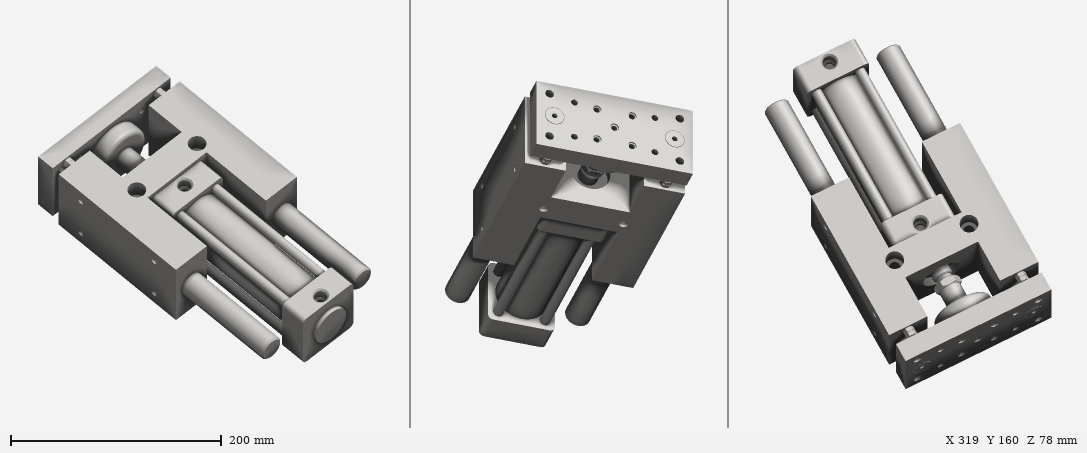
import cadquery as cq
import math


plate_thickness = 19.8
plate_width = 156.3
plate_height = 74.3

housing_front = 30.0
housing_rear = 189.8
housing_width = 160.0
housing_height = 78.0
web_front = 75.0
web_rear = 108.8
pocket_width = 78.0
web_recess_diameter = 40.0
web_recess_depth = 8.5

mount_x = 95.0
mount_y = 40.0
mount_head_diameter = 18.0
mount_head_depth = 19.0
mount_clearance_diameter = 11.0
mount_clearance_depth = housing_height / 2
mount_core_diameter = 8.5

side_hole_x = 60.0
side_hole_pitch_x = 100.2
side_hole_z = 25.0
side_hole_diameter = 6.7
side_hole_depth = 15.0

rod_y = 60.0
rod_diameter = 25.2
rod_rear = 300.0
rod_end_chamfer = 1.5
rod_seat_diameter = 19.8
rod_seat_chamfer = 0.5
rod_centre_diameter = 5.5
rod_centre_depth = 9.5

stop_z = 32.0
stop_flats = 10.0
stop_gap = 1.0
stop_head_front = plate_thickness + stop_gap
stop_nut_length = 4.5
stop_bevel_width = 1.0
stop_bevel_length = 0.5

cap_size = 66.7
cap_corner_radius = 5.0
front_cap_rear = 137.0
rear_cap_front = 286.5
rear_cap_rear = 315.0
barrel_diameter = 52.3
tie_rod_offset = 23.3
tie_rod_diameter = 10.2
rear_boss_diameter = 40.0
overall_length = 319.0

port_stations = (119.0, 304.3)
port_mouth_diameter = 17.0
port_thread_diameter = 13.5
port_bore_diameter = 9.0
port_depth = 12.8
port_bore_depth = 16.0

disc_diameter = 60.0
disc_rear = 36.7
disc_front_chamfer = 0.5
disc_rear_fillet = 5.0
stud_diameter = 22.0
nut_front = 58.0
nut_rear = 66.7
nut_flats = 24.0
nut_bevel_width = 2.5
nut_bevel_length = 2.0
thread_diameter = 16.0
piston_rod_front = 71.0
piston_rod_diameter = 20.0
piston_rod_chamfer = 1.3

corner_hole_y = 65.0
corner_hole_z = 25.0
corner_hole_diameter = 8.5
inner_hole_y = 40.2
inner_hole_z = 20.0
inner_hole_diameter = 6.7
screw_hole_offset = 17.5
screw_hole_diameter = 6.0
screw_hole_mouth = 8.3
centre_hole_diameter = 5.7
centre_hole_mouth = 8.5
mouth_depth = 1.5

SIDES = (-1, 1)


def four_corners(y, z):
    """The four points (+-y, +-z)."""
    return [(side_y * y, side_z * z) for side_y in SIDES for side_z in SIDES]


def cylinder_x(start, end, diameter, y=0, z=0):
    """A cylinder along X between two stations."""
    return cq.Workplane("YZ", origin=(start, y, z)).circle(diameter / 2).extrude(end - start)


def box_x(start, end, width, height):
    """A block centred on the X axis between two stations."""
    block = cq.Workplane("YZ", origin=(start, 0, 0)).rect(width, height)
    return block.extrude(end - start)


def hexagon_x(start, end, flats, bevel_width, bevel_length, y=0, z=0):
    """A hexagonal prism along X, flats facing +-Z, with its corners bevelled at both ends."""
    corners = flats / math.cos(math.pi / 6)
    prism = cq.Workplane("YZ", origin=(start, y, z)).polygon(6, corners).extrude(end - start)
    outer = corners / 2
    inner = outer - bevel_width
    profile = [
        (start, 0),
        (start, inner),
        (start + bevel_length, outer),
        (end - bevel_length, outer),
        (end, inner),
        (end, 0),
    ]
    envelope = cq.Workplane("XY").polyline(profile).close().revolve(360, (0, 0, 0), (1, 0, 0))
    return prism.intersect(envelope.translate((0, y, z)))


def stepped_hole_x(diameter, mouth_diameter, y, z):
    """Cutter for a hole through the plate with a shallow wider mouth at X = 0."""
    hole = cylinder_x(0, plate_thickness, diameter, y, z)
    return hole.union(cylinder_x(0, mouth_depth, mouth_diameter, y, z))


def make_block():
    """The H-shaped block with its mounting holes, side holes and the recess in the web."""
    block = box_x(housing_front, housing_rear, housing_width, housing_height)
    block = block.cut(box_x(housing_front, web_front, pocket_width, housing_height))
    block = block.cut(box_x(web_rear, housing_rear, pocket_width, housing_height))
    block = block.cut(cylinder_x(web_front, web_front + web_recess_depth, web_recess_diameter))

    top = housing_height / 2
    mount_points = [(mount_x, side * mount_y) for side in SIDES]
    for diameter, depth in (
        (mount_head_diameter, mount_head_depth),
        (mount_clearance_diameter, mount_clearance_depth),
        (mount_core_diameter, housing_height),
    ):
        drill = cq.Workplane("XY", origin=(0, 0, top)).pushPoints(mount_points)
        block = block.cut(drill.circle(diameter / 2).extrude(-depth))

    side_points = [
        (x, side * side_hole_z)
        for x in (side_hole_x, side_hole_x + side_hole_pitch_x)
        for side in SIDES
    ]
    for side in SIDES:
        drill = cq.Workplane("XZ", origin=(0, side * housing_width / 2, 0)).pushPoints(side_points)
        block = block.cut(drill.circle(side_hole_diameter / 2).extrude(side * side_hole_depth))
    return block


def make_cap(start, end):
    """A square end cap with rounded long edges."""
    return box_x(start, end, cap_size, cap_size).edges("|X").fillet(cap_corner_radius)


def port_cutter(x):
    """A port down from the cap's top: countersink, threaded length, drill cone and bore."""
    mouth = port_mouth_diameter / 2
    thread = port_thread_diameter / 2
    bore = port_bore_diameter / 2
    profile = [
        (0, 0),
        (mouth, 0),
        (thread, thread - mouth),
        (thread, thread - bore - port_depth),
        (bore, -port_depth),
        (bore, -port_bore_depth),
        (0, -port_bore_depth),
    ]
    cutter = cq.Workplane("XZ").polyline(profile).close().revolve(360, (0, 0, 0), (0, 1, 0))
    return cutter.translate((x, 0, cap_size / 2))


def make_air_cylinder():
    """End caps, barrel, tie rods and rear boss, with the ports cut."""
    body = make_cap(web_rear, front_cap_rear)
    body = body.union(make_cap(rear_cap_front, rear_cap_rear))
    body = body.union(cylinder_x(front_cap_rear, rear_cap_front, barrel_diameter))
    for y, z in four_corners(tie_rod_offset, tie_rod_offset):
        body = body.union(cylinder_x(front_cap_rear, rear_cap_front, tie_rod_diameter, y, z))
    body = body.union(cylinder_x(rear_cap_rear, overall_length, rear_boss_diameter))
    for x in port_stations:
        body = body.cut(port_cutter(x))
    return body


def make_stop_screw(y, z):
    """A hexagon screw head and its lock nut, stacked against the housing's front face."""
    stop_nut_front = housing_front - stop_nut_length
    stack = cq.Workplane("XY")
    for start, end in ((stop_head_front, stop_nut_front), (stop_nut_front, housing_front)):
        hexagon = hexagon_x(start, end, stop_flats, stop_bevel_width, stop_bevel_length, y, z)
        stack = stack.union(hexagon)
    return stack


def make_housing():
    """The fixed body: block, air cylinder and stop screws, bored for the moving rods."""
    body = make_block().union(make_air_cylinder())
    for y, z in four_corners(rod_y, stop_z):
        body = body.union(make_stop_screw(y, z))
    for side in SIDES:
        body = body.cut(cylinder_x(housing_front, housing_rear, rod_diameter, side * rod_y))
    return body.cut(cylinder_x(web_front, front_cap_rear, piston_rod_diameter))


def make_plate():
    """The front plate with all its holes except the guide rod seats."""
    plate = box_x(0, plate_thickness, plate_width, plate_height)
    for y, z in four_corners(corner_hole_y, corner_hole_z):
        plate = plate.cut(cylinder_x(0, plate_thickness, corner_hole_diameter, y, z))
    for y, z in four_corners(inner_hole_y, inner_hole_z):
        plate = plate.cut(cylinder_x(0, plate_thickness, inner_hole_diameter, y, z))
    for y, z in four_corners(screw_hole_offset, screw_hole_offset):
        plate = plate.cut(stepped_hole_x(screw_hole_diameter, screw_hole_mouth, y, z))
    return plate.cut(stepped_hole_x(centre_hole_diameter, centre_hole_mouth, 0, 0))


def make_guide_rod():
    """A guide rod from the plate's rear face, on the X axis."""
    return cylinder_x(plate_thickness, rod_rear, rod_diameter).faces(">X").chamfer(rod_end_chamfer)


def rod_seat_cutter():
    """The narrow groove around the rod's seat in the plate, and the rod's centre hole."""
    outer = rod_seat_diameter / 2
    inner = outer - rod_seat_chamfer
    profile = [(0, outer), (0, inner), (rod_seat_chamfer, inner)]
    groove = cq.Workplane("XY").polyline(profile).close().revolve(360, (0, 0, 0), (1, 0, 0))
    return groove.union(cylinder_x(0, rod_centre_depth, rod_centre_diameter))


def make_piston_train():
    """Coupling disc, stud, lock nut, thread and piston rod."""
    disc = cylinder_x(plate_thickness, disc_rear, disc_diameter)
    disc = disc.faces("<X").edges().chamfer(disc_front_chamfer)
    disc = disc.faces(">X").edges().fillet(disc_rear_fillet)
    stud = cylinder_x(disc_rear, nut_front, stud_diameter)
    nut = hexagon_x(nut_front, nut_rear, nut_flats, nut_bevel_width, nut_bevel_length)
    thread = cylinder_x(nut_rear, piston_rod_front, thread_diameter)
    piston_rod = cylinder_x(piston_rod_front, front_cap_rear, piston_rod_diameter)
    piston_rod = piston_rod.faces("<X").edges().chamfer(piston_rod_chamfer)
    return disc.union(stud).union(nut).union(thread).union(piston_rod)


def make_carriage():
    """The moving body: plate, guide rods and piston rod with its coupling."""
    body = make_plate().union(make_piston_train())
    for side in SIDES:
        offset = (0, side * rod_y, 0)
        body = body.union(make_guide_rod().translate(offset))
        body = body.cut(rod_seat_cutter().translate(offset))
    return body


housing = make_housing()
carriage = make_carriage()

result = cq.Compound.makeCompound([housing.solids().val(), carriage.solids().val()])